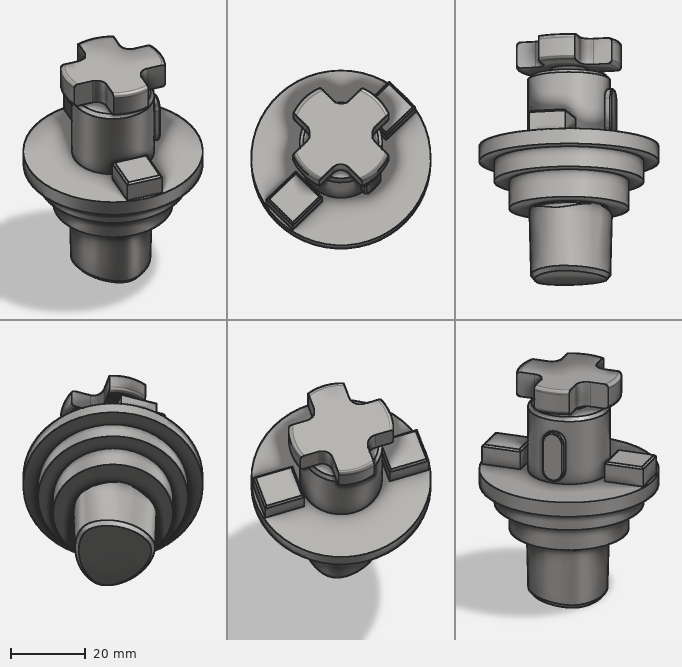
import cadquery as cq
import math

SHANK_CHAMFER_TOP_Z = 1.2
FLANGE_BOTTOM_Z = 19.0
MIDDLE_STEP_Z = 26.4
TOP_STEP_Z = 31.9
FLANGE_TOP_Z = 36.0
BOSS_TOP_Z = 55.0
HEAD_BOTTOM_Z = 56.95
HEAD_TOP_Z = 64.0

LOWER_STEP_DIAMETER = 32.0
MIDDLE_STEP_DIAMETER = 40.0
FLANGE_DIAMETER = 48.0
BOSS_DIAMETER = 22.0
BOSS_CHAMFER = 0.95
STEM_DIAMETER = 10.0

SHANK_RADIUS = 10.655
LOBE_HEIGHT = 0.67
SHANK_TAPER = 1 / 40
SHANK_CHAMFER_INSET = 0.95
NECK_DIAMETER = 21.0
NECK_HEIGHT = 0.45
RELIEF_WIDTH = 1.3
RELIEF_HEIGHT = 1.55

HEAD_DIAMETER = 28.0
HEAD_FILLET = 1.0
ARM_WIDTH = 10.0
CROSS_CORNER_RADIUS = 3.0

LUG_INNER_X = 12.0
LUG_OUTER_X = 23.05
LUG_WIDTH = ARM_WIDTH
LUG_HEIGHT = 5.5
LUG_CHAMFER = 0.5

KEY_WIDTH = 6.0
KEY_LENGTH = 14.0
KEY_BOTTOM_Z = 37.0
KEY_OUTER_Y = 12.5
KEY_DEPTH = 3.85
KEY_CHAMFER = 0.4


def cylinder(diameter, bottom_z, top_z):
    return cq.Workplane("XY", origin=(0, 0, bottom_z)).circle(diameter / 2).extrude(top_z - bottom_z)


def lobed_wire(mean_radius, z):
    """Closed curve of constant width with three lobes."""

    def point(t):
        angle = 2 * math.pi * t
        reach = mean_radius + LOBE_HEIGHT * math.cos(3 * angle)
        slope = -3 * LOBE_HEIGHT * math.sin(3 * angle)
        x = reach * math.cos(angle) - slope * math.sin(angle)
        y = reach * math.sin(angle) + slope * math.cos(angle)
        return (x, y)

    outline = cq.Workplane("XY", origin=(0, 0, z)).parametricCurve(point, N=72)
    return outline.val()


def make_shank():
    top_radius = SHANK_RADIUS + SHANK_TAPER * (FLANGE_BOTTOM_Z - SHANK_CHAMFER_TOP_Z)
    end_wire = lobed_wire(SHANK_RADIUS - SHANK_CHAMFER_INSET, 0)
    chamfer_wire = lobed_wire(SHANK_RADIUS, SHANK_CHAMFER_TOP_Z)
    top_wire = lobed_wire(top_radius, FLANGE_BOTTOM_Z)
    end = cq.Workplane(cq.Solid.makeLoft([end_wire, chamfer_wire], True))
    body = cq.Workplane(cq.Solid.makeLoft([chamfer_wire, top_wire], True))

    neck_radius = NECK_DIAMETER / 2
    envelope_radius = neck_radius + RELIEF_WIDTH
    neck_z = FLANGE_BOTTOM_Z - NECK_HEIGHT
    envelope = (
        cq.Workplane("XZ")
        .moveTo(0, 0)
        .lineTo(envelope_radius, 0)
        .lineTo(envelope_radius, neck_z - RELIEF_HEIGHT)
        .lineTo(neck_radius, neck_z)
        .lineTo(neck_radius, FLANGE_BOTTOM_Z)
        .lineTo(0, FLANGE_BOTTOM_Z)
        .close()
        .revolve(360, (0, 0, 0), (0, 1, 0))
    )
    return body.intersect(envelope).union(end)


def make_head():
    disc = cylinder(HEAD_DIAMETER, HEAD_BOTTOM_Z, HEAD_TOP_Z).edges().fillet(HEAD_FILLET)
    height = HEAD_TOP_Z - HEAD_BOTTOM_Z
    arm_length = 1.5 * HEAD_DIAMETER
    plane = cq.Workplane("XY", origin=(0, 0, HEAD_BOTTOM_Z))
    arm_x = plane.rect(arm_length, ARM_WIDTH).extrude(height)
    arm_y = plane.rect(ARM_WIDTH, arm_length).extrude(height)
    inner_corners = cq.selectors.BoxSelector(
        (-ARM_WIDTH, -ARM_WIDTH, HEAD_BOTTOM_Z), (ARM_WIDTH, ARM_WIDTH, HEAD_TOP_Z)
    )
    cross = arm_x.union(arm_y).edges("|Z").edges(inner_corners).fillet(CROSS_CORNER_RADIUS)
    return disc.intersect(cross)


def make_lug(side):
    center_x = side * (LUG_INNER_X + LUG_OUTER_X) / 2
    return (
        cq.Workplane("XY", origin=(center_x, 0, FLANGE_TOP_Z))
        .rect(LUG_OUTER_X - LUG_INNER_X, LUG_WIDTH)
        .extrude(LUG_HEIGHT)
        .faces(">Z")
        .chamfer(LUG_CHAMFER)
    )


def make_key():
    center_z = KEY_BOTTOM_Z + KEY_LENGTH / 2
    return (
        cq.Workplane("XZ", origin=(0, KEY_OUTER_Y, center_z))
        .slot2D(KEY_LENGTH, KEY_WIDTH, 90)
        .extrude(KEY_DEPTH)
        .faces(">Y")
        .chamfer(KEY_CHAMFER)
    )


flange = (
    cylinder(LOWER_STEP_DIAMETER, FLANGE_BOTTOM_Z, MIDDLE_STEP_Z)
    .union(cylinder(MIDDLE_STEP_DIAMETER, MIDDLE_STEP_Z, TOP_STEP_Z))
    .union(cylinder(FLANGE_DIAMETER, TOP_STEP_Z, FLANGE_TOP_Z))
)
boss = cylinder(BOSS_DIAMETER, FLANGE_TOP_Z, BOSS_TOP_Z).faces(">Z").chamfer(BOSS_CHAMFER)
stem = cylinder(STEM_DIAMETER, BOSS_TOP_Z, HEAD_BOTTOM_Z)

result = flange.union(boss).union(stem).union(make_head()).union(make_shank()).union(make_key())
for lug_side in (-1, 1):
    result = result.union(make_lug(lug_side))